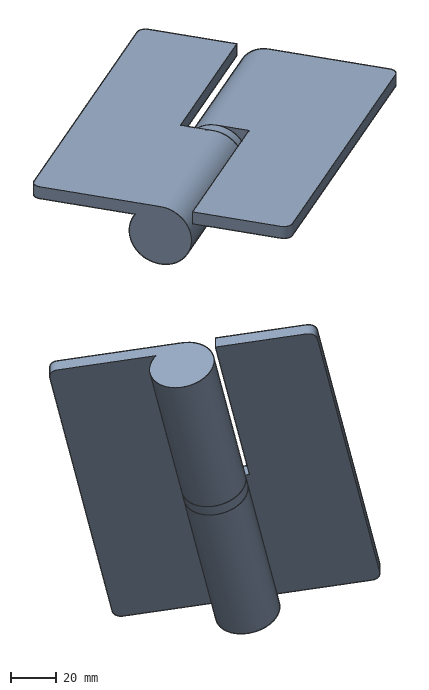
import cadquery as cq

width = 120.0
length = 150.0
barrel_diameter = 29.0
barrel_radius = barrel_diameter / 2
leaf_thickness = 6.0
corner_radius = 4.0
washer_thickness = 5.1
clearance_edge = 15.0

half_width = width / 2
half_length = length / 2
half_washer = washer_thickness / 2
leaf_bottom = barrel_radius - leaf_thickness


def y_cylinder(radius, y_start, y_length):
    """Solid cylinder on the hinge axis, growing toward +Y."""
    return (
        cq.Workplane("XZ", origin=(0, y_start, 0))
        .circle(radius)
        .extrude(-y_length)
    )


def make_left_leaf():
    """Left plate with a solid barrel on its front half, flush with the plate top."""
    plate = (
        cq.Workplane("XY", origin=(0, 0, leaf_bottom))
        .moveTo(-half_width, -half_length)
        .lineTo(0, -half_length)
        .lineTo(0, -half_washer)
        .lineTo(-clearance_edge, -half_washer)
        .lineTo(-clearance_edge, half_length)
        .lineTo(-half_width, half_length)
        .close()
        .extrude(leaf_thickness)
        .edges("|Z and <X")
        .fillet(corner_radius)
    )
    barrel = y_cylinder(barrel_radius, -half_length, half_length - half_washer)
    return plate.union(barrel)


def make_right_leaf(left_leaf):
    """The same leaf turned half a revolution about the vertical axis."""
    return left_leaf.rotate((0, 0, 0), (0, 0, 1), 180)


def make_washer():
    """Spacer disc between the two barrels."""
    return y_cylinder(barrel_radius, -half_washer, washer_thickness)


left_leaf = make_left_leaf()
right_leaf = make_right_leaf(left_leaf)
washer = make_washer()

result = cq.Compound.makeCompound([left_leaf.val(), right_leaf.val(), washer.val()])